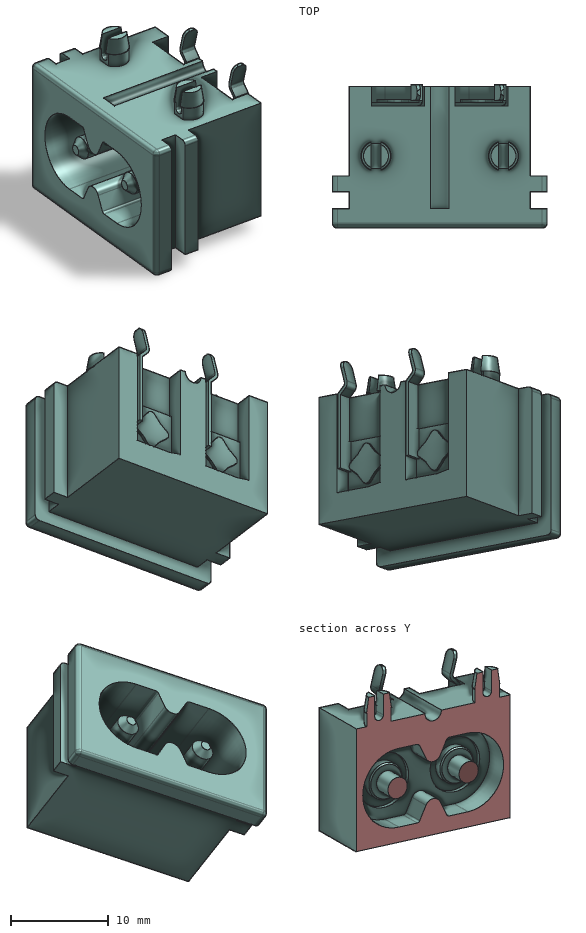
import cadquery as cq
import math


flange_width = 22.0
flange_height = 15.0
flange_thickness = 2.0
edge_radius = 0.5
body_width = 18.6
body_height = 13.5
body_back = 14.52
top_z = flange_height / 2
body_bottom_z = top_z - body_height

ear_front = 3.72
ear_back = 5.35

pin_x = 4.3
lobe_radius = 4.3
lobe_x = 4.18
cavity_depth = 10.0
rib_half_angle = 26.0
rib_tip_z = 2.0
rib_tip_radius = 1.0
rib_root_radius = 0.33
recess_radius = 3.0
recess_depth = 0.5

groove_radius = 0.97

peg_x = 6.53
peg_y = 7.4
peg_radius = 1.5
peg_flat_width = 2.6
peg_height = 3.17
peg_neck_height = 1.45
peg_head_radius = 1.55
peg_tip_radius = 1.28
peg_slot_width = 1.0
peg_slot_bottom = 0.37

pocket_half_width = 2.7
pocket_front = 12.55
pocket_floor_z = -3.0
ramp_width = 1.4
ramp_rise = 0.25

pin_radius = 1.19
pin_tip_radius = 0.53
pin_tip_y = 0.88
pin_cone_length = 0.75
collar_radius = 2.02
collar_length = 1.0
collar_chamfer = 0.15
star_corner = 2.45
star_tip_radius = 0.5
star_waist = 1.55
star_thickness = 0.3

strip_thickness = 0.35
bend_radius = 0.1
terminal_back = 14.7
tail_width = 1.6
plate_half_height = 2.68
leg_outer_offset = 2.5
leg_bottom_z = -0.5
lean_start_z = 7.37
lean_angle = 45.0
knee_z = 8.27
tail_angle = 15.0
tail_top_z = 10.95
knee_radius = 0.4


def block(x_min, x_max, y_min, y_max, z_min, z_max):
    """Box given by its limits."""
    return cq.Workplane("XY").box(
        x_max - x_min, y_max - y_min, z_max - z_min, centered=False
    ).translate((x_min, y_min, z_min))


def cylinder_y(radius, x, y_min, y_max):
    """Cylinder along Y at height Z = 0."""
    return cq.Workplane("XZ", origin=(x, y_min, 0)).circle(radius).extrude(y_min - y_max)


def make_flange():
    """Front flange, rounded all round except along its back face."""
    flange = block(-flange_width / 2, flange_width / 2, 0, flange_thickness, -top_z, top_z)
    return flange.edges("|Y or <Y").fillet(edge_radius)


def make_ears():
    """Bar across the body whose ends stand out as the two ears."""
    ears = block(-flange_width / 2, flange_width / 2, ear_front, ear_back, body_bottom_z, top_z)
    return ears.edges("|Y and >Z").fillet(edge_radius)


def make_cavity():
    """Figure-eight cavity, its pinching ribs, and a round recess around each pin."""
    lobes = cq.Workplane("XZ").slot2D(2 * (lobe_x + lobe_radius), 2 * lobe_radius)
    cavity = lobes.extrude(-cavity_depth)

    half_angle = math.radians(rib_half_angle)
    apex_z = rib_tip_z - rib_tip_radius * (1 / math.sin(half_angle) - 1)
    root_half_width = (lobe_radius - apex_z) * math.tan(half_angle)
    tip_x = rib_tip_radius * math.cos(half_angle)
    tip_z = rib_tip_z + rib_tip_radius * (1 - math.sin(half_angle))
    rib = (
        cq.Workplane("XZ")
        .moveTo(-root_half_width, lobe_radius)
        .lineTo(-tip_x, tip_z)
        .threePointArc((0, rib_tip_z), (tip_x, tip_z))
        .lineTo(root_half_width, lobe_radius)
        .close()
        .extrude(-cavity_depth)
    )
    cavity = cavity.cut(rib).cut(rib.mirror("XY"))

    for x in (-root_half_width, root_half_width):
        for z in (-lobe_radius, lobe_radius):
            corner = cq.selectors.NearestToPointSelector((x, cavity_depth / 2, z))
            cavity = cavity.edges("|Y").edges(corner).fillet(rib_root_radius)

    for x in (-pin_x, pin_x):
        cavity = cavity.union(cylinder_y(recess_radius, x, cavity_depth, cavity_depth + recess_depth))
    return cavity


def make_peg(x):
    """Split snap peg: a neck with two flats, a tapered head and a round-bottomed slot along Y."""
    neck = cq.Workplane("XY").circle(peg_radius).extrude(peg_neck_height)
    flats = cq.Workplane("XY").rect(2 * peg_radius, peg_flat_width).extrude(peg_neck_height)
    head = (
        cq.Workplane("XY", origin=(0, 0, peg_neck_height))
        .circle(peg_head_radius)
        .workplane(offset=peg_height - peg_neck_height)
        .circle(peg_tip_radius)
        .loft(ruled=True)
    )
    slot_radius = peg_slot_width / 2
    slot = (
        cq.Workplane("XZ")
        .moveTo(-slot_radius, peg_height)
        .lineTo(-slot_radius, peg_slot_bottom + slot_radius)
        .threePointArc((0, peg_slot_bottom), (slot_radius, peg_slot_bottom + slot_radius))
        .lineTo(slot_radius, peg_height)
        .close()
        .extrude(peg_head_radius, both=True)
    )
    peg = neck.intersect(flats).union(head).cut(slot)
    return peg.translate((x, peg_y, top_z))


def make_pocket(x):
    """Terminal pocket centred on the pin axis."""
    left = x - pocket_half_width
    pocket = block(left, x + pocket_half_width, pocket_front, body_back, pocket_floor_z, top_z)
    ramp = (
        cq.Workplane("XZ", origin=(left, pocket_front, pocket_floor_z))
        .polyline([(0, 0), (ramp_width, 0), (0, ramp_rise)])
        .close()
        .extrude(pocket_front - body_back)
    )
    return pocket.cut(ramp)


def make_housing():
    """Flange and body block in one piece, with cavity, groove, pegs, pockets and pin holes."""
    body = block(
        -body_width / 2, body_width / 2, flange_thickness, body_back, body_bottom_z, top_z
    )
    housing = body.union(make_flange()).union(make_ears()).cut(make_cavity())
    groove = (
        cq.Workplane("XZ", origin=(0, flange_thickness, top_z))
        .circle(groove_radius)
        .extrude(flange_thickness - body_back)
    )
    housing = housing.cut(groove)
    for x in (-peg_x, peg_x):
        housing = housing.union(make_peg(x))
    for x in (-pin_x, pin_x):
        housing = housing.cut(make_pocket(x))
        housing = housing.cut(cylinder_y(pin_radius, x, cavity_depth, pocket_front))
    return housing


def make_star(x):
    """Four-pointed head with rounded tips that holds the pin behind the terminal plate."""
    outline = []
    for quarter in range(4):
        angle = math.radians(90 * quarter)
        outline.append((star_corner * math.cos(angle), star_corner * math.sin(angle)))
        angle += math.radians(45)
        outline.append((star_waist * math.cos(angle), star_waist * math.sin(angle)))
    star = cq.Workplane("XZ").polyline(outline).close().extrude(-star_thickness)
    for axis in ("<X", ">X", "<Z", ">Z"):
        star = star.edges("|Y").edges(axis).fillet(star_tip_radius)
    return star.translate((x, pocket_front + strip_thickness, 0))


def make_pin(x):
    """Contact pin with a conical tip, a collar on the recess floor and a star-shaped rear head."""
    collar_back = cavity_depth + recess_depth
    collar_front = collar_back - collar_length
    profile = [
        (0, pin_tip_y),
        (pin_tip_radius, pin_tip_y),
        (pin_radius, pin_tip_y + pin_cone_length),
        (pin_radius, collar_front),
        (collar_radius - collar_chamfer, collar_front),
        (collar_radius, collar_front + collar_chamfer),
        (collar_radius, collar_back),
        (pin_radius, collar_back),
        (pin_radius, pocket_front + strip_thickness),
        (0, pocket_front + strip_thickness),
    ]
    pin = cq.Workplane("XY").polyline(profile).close().revolve(360, (0, 0, 0), (0, 1, 0))
    return pin.translate((x, 0, 0)).union(make_star(x))


def make_tail():
    """Bent strip: an upright leg that leans to -X above the pocket and returns at the knee."""
    lean = math.radians(lean_angle)
    tilt = math.radians(tail_angle)
    knee_shift = (knee_z - lean_start_z) * math.tan(lean)
    half = strip_thickness / 2

    def side(offset):
        """Points along the strip at a sideways distance from its middle line, +X positive."""
        leg_x = leg_outer_offset - half + offset
        lean_z = lean_start_z + offset * math.tan(lean / 2)
        knee_middle_x = leg_outer_offset - half - knee_shift
        knee_bisector = (tilt - lean) / 2
        knee_miter = offset / math.cos((lean + tilt) / 2)
        knee_x = knee_middle_x + knee_miter * math.cos(knee_bisector)
        knee_height = knee_z - knee_miter * math.sin(knee_bisector)
        end_z = tail_top_z - (half + offset) * math.sin(tilt)
        end_x = knee_x + (end_z - knee_height) * math.tan(tilt)
        return [(leg_x, leg_bottom_z), (leg_x, lean_z), (knee_x, knee_height), (end_x, end_z)]

    outline = side(-half) + side(half)[::-1]
    tail = cq.Workplane("XZ", origin=(0, terminal_back, 0)).polyline(outline).close().extrude(tail_width)

    for offset, radius in ((-half, knee_radius + strip_thickness), (half, knee_radius)):
        x, z = side(offset)[2]
        knee = cq.selectors.NearestToPointSelector((x, terminal_back - tail_width / 2, z))
        tail = tail.edges("|Y").edges(knee).fillet(radius)

    tip_radius = tail_width / 2
    shoulder_z = tail_top_z - tip_radius
    tip = (
        cq.Workplane("YZ")
        .moveTo(terminal_back, leg_bottom_z)
        .lineTo(terminal_back, shoulder_z)
        .threePointArc((terminal_back - tip_radius, tail_top_z), (terminal_back - tail_width, shoulder_z))
        .lineTo(terminal_back - tail_width, leg_bottom_z)
        .close()
        .extrude(pocket_half_width, both=True)
    )
    return tail.intersect(tip)


def make_terminal(x):
    """Plate held by the pin, bent at its side into the leg and tail."""
    leg_inner = leg_outer_offset - strip_thickness
    plate_back = pocket_front + strip_thickness
    tail_front = terminal_back - tail_width
    angle_section = (
        cq.Workplane("XY", origin=(0, 0, -plate_half_height))
        .polyline([
            (-pocket_half_width, pocket_front),
            (leg_outer_offset, pocket_front),
            (leg_outer_offset, tail_front),
            (leg_inner, tail_front),
            (leg_inner, plate_back),
            (-pocket_half_width, plate_back),
        ])
        .close()
        .extrude(2 * plate_half_height)
    )
    angle_section = angle_section.edges("|Z and >X and <Y").fillet(bend_radius + strip_thickness)
    below_leg = block(
        leg_inner, leg_outer_offset, plate_back, tail_front, -plate_half_height, leg_bottom_z
    )
    plate = angle_section.cut(below_leg)
    terminal = plate.union(make_tail())
    terminal = terminal.cut(cylinder_y(pin_radius, 0, pocket_front, plate_back))
    return terminal.translate((x, 0, 0))


housing = make_housing()
pins = [make_pin(x) for x in (-pin_x, pin_x)]
terminals = [make_terminal(x) for x in (-pin_x, pin_x)]

result = cq.Compound.makeCompound([body.solids().val() for body in [housing, *pins, *terminals]])